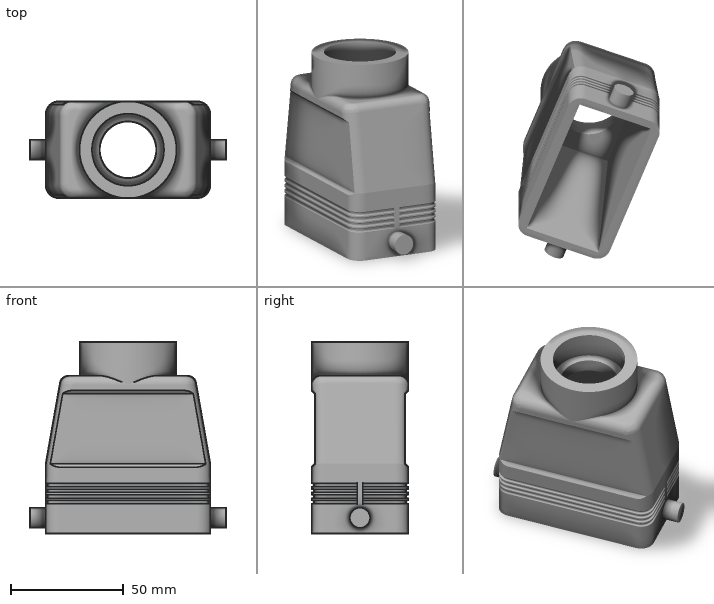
import cadquery as cq
import math

base_length = 73.0
width = 43.0
total_height = 85.0
pin_span = 87.0

base_height = 31.0
roof_height = 70.0
end_wall_angle = 10.0
corner_radius = 6.0
roof_edge_radius = 4.0

recess_depth = 1.5
recess_bottom = base_height - recess_depth
recess_top = 63.5

neck_diameter = width
entry_diameter = 32.0
entry_depth = 12.0
throat_diameter = 25.0

cavity_length = 66.0
cavity_width = 34.0
cavity_height = 67.0

groove_depth = 1.0
groove_width = 1.5
groove_floor_radius = 0.5
groove_lip_radius = 0.25
groove_overrun = 0.5
groove_count = 4
groove_pitch = 2.5
lowest_groove_height = 14.0
groove_gap = 2.5

pin_diameter = 9.0
pin_height = 7.0

inward_lean = math.tan(math.radians(end_wall_angle))


def make_body():
    """Solid hood body with rounded corners and a rounded roof edge."""
    base_half = base_length / 2
    roof_half = base_half - (roof_height - base_height) * inward_lean
    outline = [
        (-base_half, 0),
        (base_half, 0),
        (base_half, base_height),
        (roof_half, roof_height),
        (-roof_half, roof_height),
        (-base_half, base_height),
    ]
    body = cq.Workplane("XZ").polyline(outline).close().extrude(width / 2, both=True)
    upright_edges = body.faces("<Y or >Y").edges("not #Z")
    body = upright_edges.fillet(corner_radius)
    return body.faces(">Z").edges().fillet(roof_edge_radius)


def make_recess():
    """Cutter for the -Y side recess, running the full length of the body."""
    outer_y = -width / 2
    inner_y = outer_y + recess_depth
    section = [
        (outer_y, recess_bottom),
        (inner_y, recess_bottom + recess_depth),
        (inner_y, recess_top - recess_depth),
        (outer_y, recess_top),
    ]
    return cq.Workplane("YZ").polyline(section).close().extrude(base_length / 2, both=True)


def make_neck():
    """Round neck standing on the roof, rooted where the rounded roof edge begins."""
    neck_root = roof_height - roof_edge_radius
    neck = cq.Workplane("XY").workplane(offset=neck_root).circle(neck_diameter / 2)
    return neck.extrude(total_height - neck_root)


def make_cavity():
    """Wedge-shaped hollow whose ends lean like the outer end walls."""
    bottom_half = cavity_length / 2
    top_half = bottom_half - cavity_height * inward_lean
    outline = [
        (-bottom_half, 0),
        (bottom_half, 0),
        (top_half, cavity_height),
        (-top_half, cavity_height),
    ]
    return cq.Workplane("XZ").polyline(outline).close().extrude(cavity_width / 2, both=True)


def make_cable_bore():
    """Stepped bore down the neck into the cavity."""
    top = cq.Workplane("XY").workplane(offset=total_height)
    entry = top.circle(entry_diameter / 2).extrude(-entry_depth)
    throat = top.circle(throat_diameter / 2).extrude(cavity_height - total_height)
    return entry.union(throat)


def arc_middle(center_u, center_v, radius, u_sign, v_sign):
    """Midpoint of a quarter arc lying in the given quadrant around its centre."""
    diagonal = radius * math.sqrt(0.5)
    return (center_u + u_sign * diagonal, center_v + v_sign * diagonal)


def make_groove_section(start_y, height):
    """Groove profile on the +X face: rounded floor, straight flanks, rounded lips."""
    wall_z = groove_width / 2
    lip = groove_lip_radius
    mouth_z = wall_z + lip
    floor_z = wall_z - groove_floor_radius
    floor_end_x = -groove_depth + groove_floor_radius
    section = cq.Workplane("XZ", origin=(base_length / 2, start_y, height))
    return (
        section.moveTo(groove_overrun, mouth_z)
        .lineTo(0, mouth_z)
        .threePointArc(arc_middle(-lip, mouth_z, lip, 1, -1), (-lip, wall_z))
        .lineTo(floor_end_x, wall_z)
        .threePointArc(
            arc_middle(floor_end_x, floor_z, groove_floor_radius, -1, 1),
            (-groove_depth, floor_z),
        )
        .lineTo(-groove_depth, -floor_z)
        .threePointArc(
            arc_middle(floor_end_x, -floor_z, groove_floor_radius, -1, -1),
            (floor_end_x, -wall_z),
        )
        .lineTo(-lip, -wall_z)
        .threePointArc(arc_middle(-lip, -mouth_z, lip, 1, 1), (0, -mouth_z))
        .lineTo(groove_overrun, -mouth_z)
        .close()
    )


def make_half_groove(height):
    """Round-bottomed groove around the +Y half of the base."""
    x = base_length / 2
    y = width / 2
    gap_y = groove_gap / 2
    corner_x = x - corner_radius
    corner_y = y - corner_radius
    path = (
        cq.Workplane("XY", origin=(0, 0, height))
        .moveTo(x, gap_y)
        .lineTo(x, corner_y)
        .threePointArc(arc_middle(corner_x, corner_y, corner_radius, 1, 1), (corner_x, y))
        .lineTo(-corner_x, y)
        .threePointArc(arc_middle(-corner_x, corner_y, corner_radius, -1, 1), (-x, corner_y))
        .lineTo(-x, gap_y)
    )
    return make_groove_section(gap_y, height).sweep(path)


def make_pin(direction):
    """Locking pin on one end; direction is +1 or -1 along X."""
    pin_length = (pin_span - base_length) / 2
    start = cq.Workplane("YZ", origin=(direction * base_length / 2, 0, pin_height))
    return start.circle(pin_diameter / 2).extrude(direction * pin_length)


recess = make_recess()
result = make_body().cut(recess).cut(recess.mirror("XZ"))
result = result.union(make_neck())

for index in range(groove_count):
    groove = make_half_groove(lowest_groove_height + index * groove_pitch)
    result = result.cut(groove).cut(groove.mirror("XZ"))

for side in (-1, 1):
    result = result.union(make_pin(side))

result = result.cut(make_cavity()).cut(make_cable_bore())